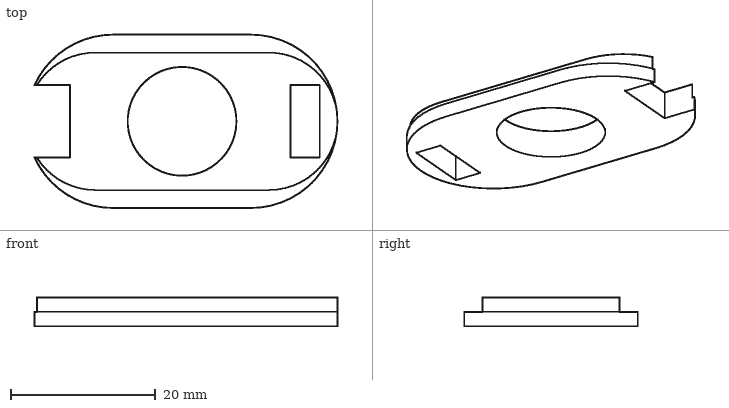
import cadquery as cq

full_length = 43.0
lower_width = 24.0
upper_width = 19.0
layer_thickness = 2.0
total_thickness = 2 * layer_thickness

bore_diameter = 15.0
opening_width = 10.0
window_inner_x = 15.0
window_outer_x = 19.0
notch_inner_x = -15.5
notch_outer_x = -full_length / 2


def rounded_plate(width, bottom_z):
    """Plate with full-radius ends, centred on the Z axis."""
    return (
        cq.Workplane("XY")
        .workplane(offset=bottom_z)
        .slot2D(full_length, width)
        .extrude(layer_thickness)
    )


def rectangular_opening(start_x, end_x):
    """Full-height cutter between two X positions, centred on Y = 0."""
    return (
        cq.Workplane("XY")
        .center((start_x + end_x) / 2, 0)
        .rect(end_x - start_x, opening_width)
        .extrude(total_thickness)
    )


lower_plate = rounded_plate(lower_width, 0)
upper_plate = rounded_plate(upper_width, layer_thickness)

bore = cq.Workplane("XY").circle(bore_diameter / 2).extrude(total_thickness)
window = rectangular_opening(window_inner_x, window_outer_x)
notch = rectangular_opening(notch_outer_x, notch_inner_x)

result = lower_plate.union(upper_plate).cut(bore).cut(window).cut(notch)